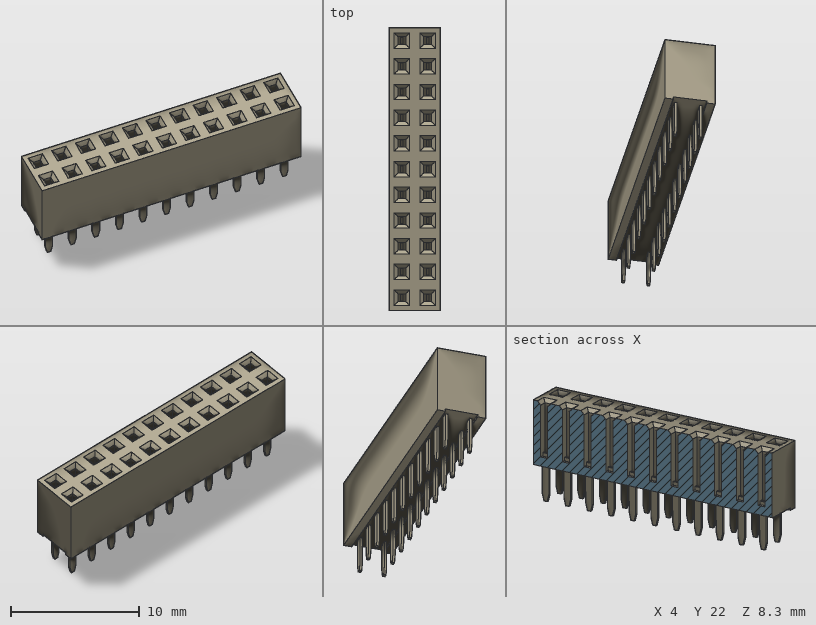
import cadquery as cq


pitch = 2.0
row_count = 2
contacts_per_row = 11

housing_width = row_count * pitch
housing_length = contacts_per_row * pitch
housing_height = 5.6
foot_width = 0.67
standoff = 0.2

lead_in_mouth = 1.2
well_size = 0.6
lead_in_depth = (lead_in_mouth - well_size) / 2
well_floor = 1.0

pin_thickness = 0.2
pin_width = 0.6
tail_length = 2.7
tip_width = 0.3
tip_length = 0.6
contact_end_width = 0.5
contact_end_height = 0.3

lead_in_bottom = housing_height - lead_in_depth


def make_housing():
    block = cq.Workplane("XY").box(
        housing_width, housing_length, housing_height, centered=(True, True, False)
    )
    channel = cq.Workplane("XY").box(
        housing_width - 2 * foot_width, housing_length, standoff, centered=(True, True, False)
    )
    return block.cut(channel)


def make_opening():
    lead_in = (
        cq.Workplane("XY", origin=(0, 0, lead_in_bottom))
        .rect(well_size, well_size)
        .workplane(offset=lead_in_depth)
        .rect(lead_in_mouth, lead_in_mouth)
        .loft(ruled=True)
    )
    well = (
        cq.Workplane("XY", origin=(0, 0, well_floor))
        .rect(well_size, well_size)
        .extrude(lead_in_bottom - well_floor)
    )
    return lead_in.union(well)


def make_tail():
    """Flat solder tail, tapered at the tip and rooted in the roof of the channel."""
    shoulder = -tail_length + tip_length
    outline = [
        (-pin_width / 2, standoff),
        (-pin_width / 2, shoulder),
        (-tip_width / 2, -tail_length),
        (tip_width / 2, -tail_length),
        (pin_width / 2, shoulder),
        (pin_width / 2, standoff),
    ]
    return cq.Workplane("YZ").polyline(outline).close().extrude(pin_thickness / 2, both=True)


def make_contact_end():
    return (
        cq.Workplane("XY", origin=(0, 0, well_floor))
        .rect(pin_thickness, contact_end_width)
        .extrude(contact_end_height)
    )


def at_every_contact(body):
    """Copies of a body at every position of the contact grid."""
    grid = cq.Workplane("XY").rarray(pitch, pitch, row_count, contacts_per_row)
    return grid.eachpoint(lambda location: body.val().moved(location))


result = (
    make_housing()
    .cut(at_every_contact(make_opening()))
    .union(at_every_contact(make_tail()))
    .union(at_every_contact(make_contact_end()))
)